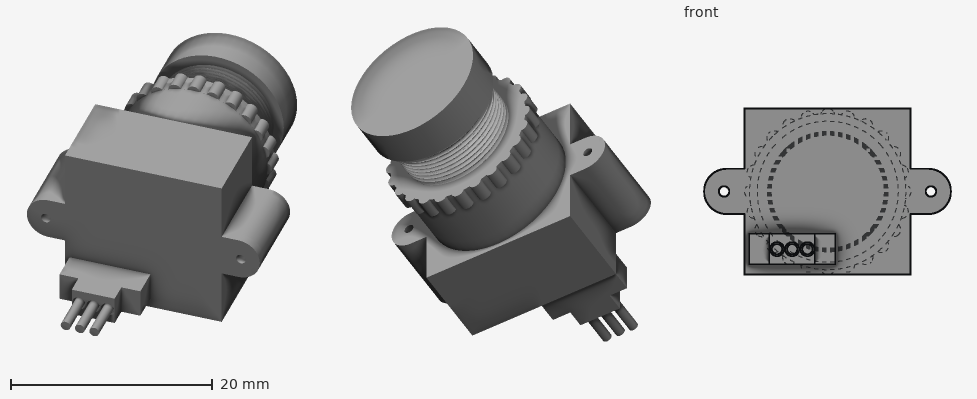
import cadquery as cq
import math


FULL_TURN = 360.0

CASE_SIDE = 16.5
CASE_DEPTH = 8.0
PLATE_THICKNESS = 1.0
EAR_SPAN = 24.5
EAR_HEIGHT = 4.5
EAR_HOLE_SPACING = 20.5
EAR_HOLE_DIAMETER = 1.0
HOLDER_DIAMETER = 15.5
HOLDER_LENGTH = 6.0

RING_THICKNESS = 2.0
RING_BODY_DIAMETER = HOLDER_DIAMETER
GRIP_COUNT = 24
GRIP_DIAMETER = 1.4
GRIP_TIP_DIAMETER = CASE_SIDE

HEAD_DIAMETER = 14.0
HEAD_LENGTH = 4.0
THREAD_LENGTH = 5.0
THREAD_TURNS = 10
THREAD_CREST_DIAMETER = 11.95
THREAD_ROOT_DIAMETER = 11.35
THREAD_ROOT_ANGLE = FULL_TURN / 4
THREAD_FLANK_ANGLE = (FULL_TURN - THREAD_ROOT_ANGLE) / 2
FLANK_STEPS = 8

PLUG_WIDTH = 8.5
PLUG_HEIGHT = 3.0
PLUG_LENGTH = 3.0
PLUG_SIDE_MARGIN = 0.5
PLUG_BOTTOM_MARGIN = 1.0
NECK_WIDTH = 4.5
NECK_LENGTH = 2.0
WIRE_COUNT = 3
WIRE_PITCH = 1.5
WIRE_DIAMETER = 1.0
WIRE_HOLE_DIAMETER = 1.4
WIRE_HOLE_DEPTH = NECK_LENGTH
WIRE_FREE_LENGTH = 4.0

CASE_BACK_Y = -CASE_DEPTH
PLATE_BACK_Y = CASE_BACK_Y - PLATE_THICKNESS
PLUG_BACK_Y = PLATE_BACK_Y - PLUG_LENGTH
NECK_BACK_Y = PLUG_BACK_Y - NECK_LENGTH
RING_BACK_Y = HOLDER_LENGTH
RING_FRONT_Y = RING_BACK_Y + RING_THICKNESS
HEAD_BACK_Y = RING_FRONT_Y + THREAD_LENGTH

PLUG_X = -CASE_SIDE / 2 + PLUG_SIDE_MARGIN + PLUG_WIDTH / 2
PLUG_Z = -CASE_SIDE / 2 + PLUG_BOTTOM_MARGIN + PLUG_HEIGHT / 2
WIRE_POINTS = [(PLUG_X + (i - (WIRE_COUNT - 1) / 2) * WIRE_PITCH, PLUG_Z) for i in range(WIRE_COUNT)]


def facing_front(y):
    """Sketch plane at height y along the lens axis: local x is +X, local y is +Z, extrusion runs to -Y."""
    return cq.Workplane("XZ", origin=(0, y, 0))


def polar_point(radius, angle):
    """Point at an angle in degrees around the origin of a sketch."""
    return radius * math.cos(math.radians(angle)), radius * math.sin(math.radians(angle))


def case_slab(front_y, depth):
    """Square slab with a round-ended, drilled mounting ear on each side."""
    square = facing_front(front_y).rect(CASE_SIDE, CASE_SIDE).extrude(depth)
    ears = facing_front(front_y).slot2D(EAR_SPAN, EAR_HEIGHT).extrude(depth)
    hole_points = [(-EAR_HOLE_SPACING / 2, 0), (EAR_HOLE_SPACING / 2, 0)]
    holes = facing_front(front_y).pushPoints(hole_points).circle(EAR_HOLE_DIAMETER / 2).extrude(depth)
    return square.union(ears).cut(holes)


def make_case():
    """Front case with the round lens holder on its front face."""
    holder = facing_front(HOLDER_LENGTH).circle(HOLDER_DIAMETER / 2).extrude(HOLDER_LENGTH)
    return case_slab(0, CASE_DEPTH).union(holder)


def make_back_plate():
    return case_slab(CASE_BACK_Y, PLATE_THICKNESS)


def thread_flank(start_radius, end_radius, start_angle):
    """Points of the spiral that the thread flank makes in a cross-section, start point left out."""
    points = []
    for i in range(1, FLANK_STEPS + 1):
        radius = start_radius + (end_radius - start_radius) * i / FLANK_STEPS
        angle = start_angle + THREAD_FLANK_ANGLE * i / FLANK_STEPS
        points.append(polar_point(radius, angle))
    return points


def make_thread():
    """Right-handed single-start screw between the lens head and the lock ring.

    Its cross-section is a root arc and two spiral flanks that meet at a sharp crest, twisted along the axis.
    """
    crest_radius = THREAD_CREST_DIAMETER / 2
    root_radius = THREAD_ROOT_DIAMETER / 2
    root_start = THREAD_FLANK_ANGLE
    root_end = root_start + THREAD_ROOT_ANGLE
    return (
        facing_front(HEAD_BACK_Y)
        .moveTo(*polar_point(crest_radius, 0))
        .spline(thread_flank(crest_radius, root_radius, 0), includeCurrent=True)
        .threePointArc(
            polar_point(root_radius, (root_start + root_end) / 2),
            polar_point(root_radius, root_end),
        )
        .spline(thread_flank(root_radius, crest_radius, root_end), includeCurrent=True)
        .close()
        .twistExtrude(THREAD_LENGTH, FULL_TURN * THREAD_TURNS)
    )


def make_lens():
    """Lens head, threaded barrel and a plain end that passes through the lock ring to the holder."""
    plain_end = facing_front(RING_FRONT_Y).circle(THREAD_ROOT_DIAMETER / 2).extrude(RING_THICKNESS)
    head = facing_front(HEAD_BACK_Y + HEAD_LENGTH).circle(HEAD_DIAMETER / 2).extrude(HEAD_LENGTH)
    return make_thread().union(head).union(plain_end)


def make_lock_ring():
    """Ring with rounded grips around its rim and a plain hole that fits the end of the lens barrel."""
    ring = facing_front(RING_FRONT_Y).circle(RING_BODY_DIAMETER / 2).extrude(RING_THICKNESS)
    hole = facing_front(RING_FRONT_Y).circle(THREAD_ROOT_DIAMETER / 2).extrude(RING_THICKNESS)
    grips = (
        facing_front(RING_FRONT_Y)
        .polarArray((GRIP_TIP_DIAMETER - GRIP_DIAMETER) / 2, 0, FULL_TURN, GRIP_COUNT)
        .circle(GRIP_DIAMETER / 2)
        .extrude(RING_THICKNESS)
    )
    return ring.union(grips).cut(hole)


def make_connector():
    """T-shaped plug on the back plate with a round hole for each wire."""
    plug = facing_front(PLATE_BACK_Y).center(PLUG_X, PLUG_Z).rect(PLUG_WIDTH, PLUG_HEIGHT).extrude(PLUG_LENGTH)
    neck = facing_front(PLUG_BACK_Y).center(PLUG_X, PLUG_Z).rect(NECK_WIDTH, PLUG_HEIGHT).extrude(NECK_LENGTH)
    holes = (
        facing_front(NECK_BACK_Y + WIRE_HOLE_DEPTH)
        .pushPoints(WIRE_POINTS)
        .circle(WIRE_HOLE_DIAMETER / 2)
        .extrude(WIRE_HOLE_DEPTH)
    )
    return plug.union(neck).cut(holes)


def make_wire(x, z):
    """Wire that starts at the bottom of its connector hole and sticks out of the back."""
    length = WIRE_HOLE_DEPTH + WIRE_FREE_LENGTH
    return facing_front(NECK_BACK_Y + WIRE_HOLE_DEPTH).center(x, z).circle(WIRE_DIAMETER / 2).extrude(length)


case = make_case()
back_plate = make_back_plate()
lens = make_lens()
lock_ring = make_lock_ring()
connector = make_connector()
wires = [make_wire(x, z) for x, z in WIRE_POINTS]

result = cq.Compound.makeCompound(
    [
        case.val(),
        back_plate.val(),
        lens.val(),
        lock_ring.val(),
        connector.val(),
        *[wire.val() for wire in wires],
    ]
)